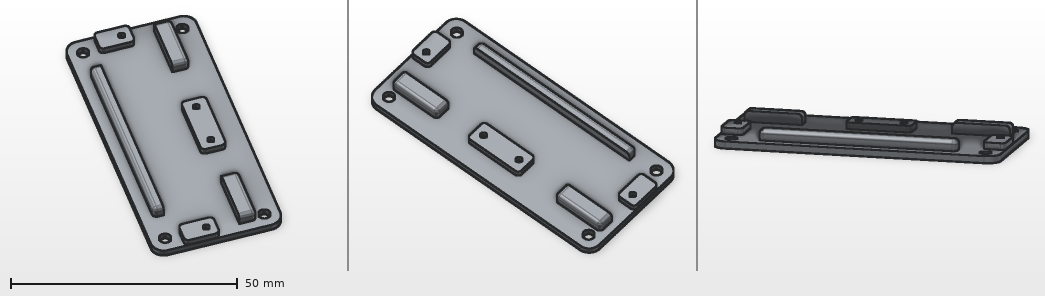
import cadquery as cq

plate_length = 65
plate_width = 30.0
plate_thickness = 1.6
plate_corner_radius = 3.0
total_height = 4.1

mount_hole_diameter = 2.65
mount_hole_spacing_x = 57.85
mount_hole_spacing_y = 23.0

pad_height = 1.5
pad_corner_radius = 1.0
pad_hole_diameter = 1.5

center_pad_length = 14.95
center_pad_width = 5.7
center_pad_x = 0.45
center_pad_y = 6.75
center_hole_spacing = 10.3

side_pad_length = 5.0
side_pad_width = 8.05
side_pad_x = 29.9
side_pad_y = -3.95
side_hole_offset_y = 1.7

rib_height = total_height - plate_thickness
rib_round = 1.0

rear_rib_length = 13.1
rear_rib_width = 3.95
left_rib_x = -23.85
right_rib_x = 23.45
rear_rib_y = 7.35

front_rib_length = 45.0
front_rib_width = 2.4
front_rib_x = -0.1
front_rib_y = -10.85


def make_plate():
    plate = cq.Workplane("XY").box(
        plate_length, plate_width, plate_thickness, centered=(True, True, False)
    )
    plate = plate.edges("|Z").fillet(plate_corner_radius)
    return (
        plate.faces(">Z")
        .workplane()
        .rect(mount_hole_spacing_x, mount_hole_spacing_y, forConstruction=True)
        .vertices()
        .hole(mount_hole_diameter)
    )


def make_block(length, width, height):
    """Plain block centred in X and Y, standing on Z = 0."""
    return cq.Workplane("XY").box(length, width, height, centered=(True, True, False))


def place_on_plate(body, x, y):
    return body.translate((x, y, plate_thickness))


def make_pad(length, width, hole_points):
    """Pad with rounded corners and holes through its full height."""
    pad = make_block(length, width, pad_height).edges("|Z").fillet(pad_corner_radius)
    holes = (
        cq.Workplane("XY")
        .pushPoints(hole_points)
        .circle(pad_hole_diameter / 2)
        .extrude(pad_height)
    )
    return pad.cut(holes)


def make_rib(length, width, outer_side):
    """Rib with a square inner side; outer_side is '>Y' or '<Y'."""
    rib = make_block(length, width, rib_height)
    rib = rib.faces(outer_side).edges("|Z").fillet(rib_round)
    inner_side = "<Y" if outer_side == ">Y" else ">Y"
    inner_edge = cq.selectors.StringSyntaxSelector(inner_side)
    outer_top_edges = rib.faces(">Z").edges(cq.selectors.InverseSelector(inner_edge))
    return outer_top_edges.fillet(rib_round)


result = make_plate()

center_holes = [(-center_hole_spacing / 2, 0), (center_hole_spacing / 2, 0)]
center_pad = make_pad(center_pad_length, center_pad_width, center_holes)
result = result.union(place_on_plate(center_pad, center_pad_x, center_pad_y))

side_pad = make_pad(side_pad_length, side_pad_width, [(0, side_hole_offset_y)])
for pad_x in (-side_pad_x, side_pad_x):
    result = result.union(place_on_plate(side_pad, pad_x, side_pad_y))

rear_rib = make_rib(rear_rib_length, rear_rib_width, ">Y")
for rib_x in (left_rib_x, right_rib_x):
    result = result.union(place_on_plate(rear_rib, rib_x, rear_rib_y))

front_rib = make_rib(front_rib_length, front_rib_width, "<Y")
result = result.union(place_on_plate(front_rib, front_rib_x, front_rib_y))